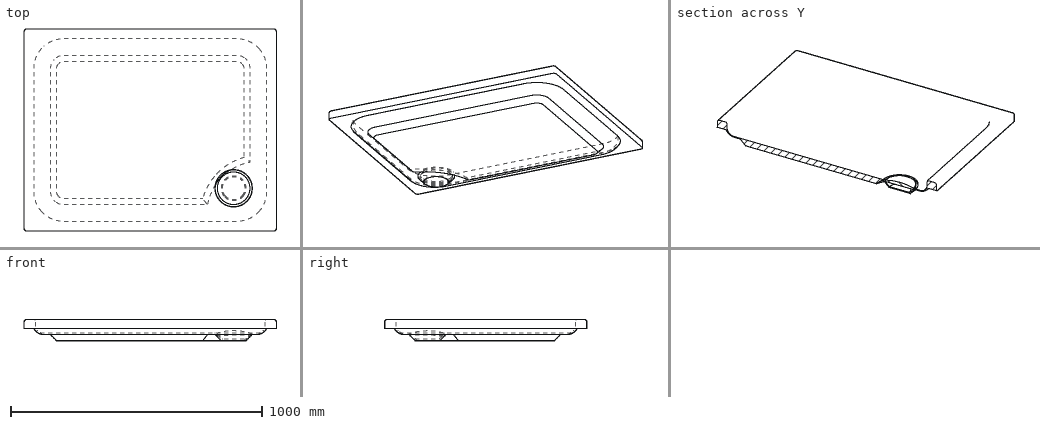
import cadquery as cq
import math

length = 1005.0
width = 805.0
height = 85.0
rim_height = 37.0
rim_round = 12.0

wall_inset = 45.0
wall_draft = 2.0
pool_corner = 118.0
pool_depth = 55.0
lip_round = 7.0
cove_round = 30.0
sheet = 6.0

shell_inset = 34.0
shell_corner = 124.0
shell_round = 45.0

foot_inset = 130.0
foot_corner = 29.0
foot_taper = 45.0
notch_inset = 66.0
notch_radius_top = 212.0

drain_inset = 171.0
bowl_radius_bottom = 49.0
recess_radius_top = 74.0
recess_radius_bottom = 45.0

cover_diameter = 130.0
cover_edge_rise = 1.0
cover_dome_rise = 9.0

cover_radius = cover_diameter / 2
floor_z = -pool_depth
shell_z = floor_z - sheet
foot_z = -height
recess_z = foot_z + sheet
foot_spread = (shell_z - foot_z) * math.tan(math.radians(foot_taper))


def rounded_outline(z, inset, corner):
    """Level outline with round corners, inset from the rim sides."""
    return (
        cq.Workplane("XY", origin=(0, 0, z))
        .sketch()
        .rect(length - 2 * inset, width - 2 * inset)
        .vertices()
        .fillet(corner)
        .finalize()
    )


def rounded_block(inset, corner, bottom_z, bottom_round, draft=0):
    """Block below Z = 0 with round corners, rounded all along its bottom edge."""
    return (
        rounded_outline(0, inset, corner)
        .extrude(bottom_z, taper=draft)
        .faces("<Z")
        .edges()
        .fillet(bottom_round)
    )


def corner_point(inset):
    """X and Y of the point with the same inset from the +X and -Y sides, where the drain lies."""
    return length / 2 - inset, inset - width / 2


def corner_cone(inset, radius_top, radius_bottom, top_z, bottom_z):
    """Upright cone frustum in the drain corner."""
    base = cq.Vector(*corner_point(inset), bottom_z)
    return cq.Workplane(cq.Solid.makeCone(radius_bottom, radius_top, top_z - bottom_z, base))


def make_rim():
    return (
        cq.Workplane("XY")
        .rect(length, width)
        .extrude(-rim_height)
        .edges("|Z or >Z")
        .fillet(rim_round)
    )


def make_foot():
    """Tapered foot under the pool, cut back around the drain bowl."""
    outline = rounded_outline(foot_z, foot_inset, foot_corner)
    foot = outline.extrude(shell_z - foot_z, taper=-foot_taper)
    notch_radius_bottom = notch_radius_top + foot_spread
    return foot.cut(corner_cone(notch_inset, notch_radius_top, notch_radius_bottom, shell_z, foot_z))


def make_tray():
    shell = rounded_block(shell_inset, shell_corner, shell_z, shell_round)
    bowl_radius_top = bowl_radius_bottom + foot_spread
    bowl = corner_cone(drain_inset, bowl_radius_top, bowl_radius_bottom, shell_z, foot_z)
    pool = rounded_block(wall_inset, pool_corner, floor_z, cove_round, wall_draft)
    recess = corner_cone(drain_inset, recess_radius_top, recess_radius_bottom, floor_z, recess_z)
    tray = make_rim().union(shell).union(make_foot()).union(bowl).cut(pool).cut(recess)
    lip = cq.selectors.BoxSelector(
        (wall_inset - length / 2 - lip_round, wall_inset - width / 2 - lip_round, -lip_round),
        (length / 2 - wall_inset + lip_round, width / 2 - wall_inset + lip_round, lip_round),
        boundingbox=True,
    )
    return tray.edges(lip).fillet(lip_round)


def make_cover():
    """Domed disc whose lower edge rests on the sloping wall of the recess."""
    wall_slope = (floor_z - recess_z) / (recess_radius_top - recess_radius_bottom)
    seat_z = floor_z - (recess_radius_top - cover_radius) * wall_slope
    edge_z = floor_z + cover_edge_rise
    dome_z = edge_z + cover_dome_rise
    dome_radius = (cover_radius**2 + cover_dome_rise**2) / (2 * cover_dome_rise)
    mid_x = cover_radius / 2
    mid_z = dome_z - dome_radius + (dome_radius**2 - mid_x**2) ** 0.5
    return (
        cq.Workplane("XZ")
        .moveTo(0, seat_z)
        .lineTo(cover_radius, seat_z)
        .lineTo(cover_radius, edge_z)
        .threePointArc((mid_x, mid_z), (0, dome_z))
        .close()
        .revolve()
        .translate((*corner_point(drain_inset), 0))
    )


tray = make_tray()
cover = make_cover()

result = cq.Compound.makeCompound([tray.val(), cover.val()])